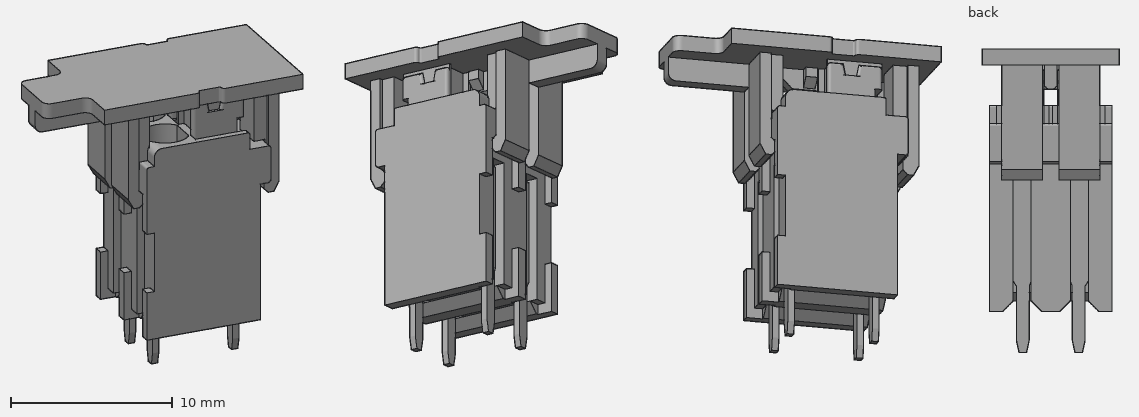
import cadquery as cq

total_height = 18.8
sides = (-1, 1)
pick_margin = 0.02

plate_width = 8.5
plate_thickness = 1.0
plate_bottom = total_height - plate_thickness
plate_back = 6.34
plate_front = -7.16
tab_tip = -10.17
tab_width = 3.95
tab_radius = 0.5
side_notch_back = 1.09
side_notch_front = -0.85
side_notch_outer_radius = 0.23
side_notch_inner_radius = 0.11
side_notch_depth = side_notch_outer_radius + side_notch_inner_radius

leg_offset = 1.77
leg_width = 2.54
leg_thickness = 0.71
front_leg_inner = -4.27
back_leg_inner = 4.55
front_leg_bottom = 11.2
back_leg_bottom = 10.68
front_hook_top = 12.33
back_hook_top = 11.94
hook_reach = 0.34
hook_tip_slant = 0.3
leg_toe_width = 0.35
leg_toe_height = 0.65
leg_rib_inset = 0.25
leg_rib_width = leg_width - 2 * leg_rib_inset
front_rib_inner = -3.44
back_rib_inner = 3.65
rib_end_thickness = 0.13
rib_end_bottom = 13.67

finger_rib_width = 2 * leg_offset - leg_width
finger_rib_depth = 1.5
divider_width = 0.75
divider_back = 2.25
divider_front = -3.0
divider_chamfer = 0.2
divider_nose_height = 0.45
wedge_half_width = 0.92
wedge_back = -0.68
wedge_front = -1.43
wedge_straight_depth = 0.6
wedge_depth = 1.18

housing_width = 7.61
housing_bottom = 2.54
housing_top = 15.3
shelf_height = 14.18
front_face = -4.08
recessed_face = -3.57
back_face = 3.65
back_ledge = 4.35
back_ledge_bottom = 11.7
top_back = 2.91
top_front_radius = 0.53
top_back_radius = 0.13
shelf_radius = 0.17
ledge_chamfer = 0.13
side_post_width = 0.65
middle_post_width = 0.71
post_gap_bottom = 5.73
post_gap_top = 9.68
hook_ledge = 12.16

pocket_side_gap = 0.32
pocket_floor = 12.85
round_opening_radius = 1.49
round_opening_y = -1.92
round_opening_back = -0.71

pole_offset = 1.73
plunger_width = 2.61
plunger_front = -0.58
plunger_back = top_back
plunger_lower_back = 2.4
plunger_step = 16.07
plunger_radius = 0.2
front_slot_depth = 0.4
flange_width = 0.4
front_slot_width = plunger_width - 2 * flange_width
cheek_depth = 0.2
cheek_top = 17.58
cheek_round = 0.19
cheek_notch_y = 0.92
cheek_notch_bottom = 16.8
cheek_notch_bottom_width = 0.7
cheek_notch_top_width = 1.02

pin_row = 2.73
pin_thickness = 0.43
pin_wide_offset = leg_offset
pin_wide_width = 1.1
pin_top = 10.98
pin_shoulder_top = 4.42
pin_shoulder_bottom = 4.14
pin_tail_width = 0.8
pin_tip_width = 0.47
pin_taper_height = 0.77
pin_slot_top = 11.13
pin_slot_end = pin_row - pin_thickness / 2
pin_notch_height = 0.65
pin_slot_chamfer = 0.53
bottom_step_depth = 0.53


def box(x, y, z):
    """Box spanning the given (low, high) pairs."""
    size = [abs(high - low) for low, high in (x, y, z)]
    corner = [min(pair) for pair in (x, y, z)]
    return cq.Workplane("XY").box(*size, centered=False).translate(tuple(corner))


def centred(middle, width):
    return (middle - width / 2, middle + width / 2)


def near(x, y, z):
    """Selector for edges centred within the given (low, high) pairs, with a little slack."""
    low = [pair[0] - pick_margin for pair in (x, y, z)]
    high = [pair[1] + pick_margin for pair in (x, y, z)]
    return cq.selectors.BoxSelector(low, high)


def side_profile(points, middle, width):
    """Prism along X whose outline is given as (y, z) points."""
    prism = cq.Workplane("YZ").polyline(points).close().extrude(width / 2, both=True)
    return prism.translate((middle, 0, 0))


def front_profile(points, y_low, y_high):
    """Prism along Y whose outline is given as (x, z) points."""
    prism = cq.Workplane("XZ").polyline(points).close().extrude(y_low - y_high)
    return prism.translate((0, y_low, 0))


def side_notch():
    """Cutter for the notch in the +X edge of the plate, with every corner rounded."""
    edge_x = plate_width / 2
    bend_x = edge_x - side_notch_outer_radius
    inner_x = bend_x - side_notch_inner_radius
    outline = (
        cq.Workplane("XY", origin=(0, 0, plate_bottom))
        .moveTo(edge_x, side_notch_front)
        .radiusArc((bend_x, side_notch_front + side_notch_outer_radius), -side_notch_outer_radius)
        .radiusArc((inner_x, side_notch_front + side_notch_depth), side_notch_inner_radius)
        .lineTo(inner_x, side_notch_back - side_notch_depth)
        .radiusArc((bend_x, side_notch_back - side_notch_outer_radius), side_notch_inner_radius)
        .radiusArc((edge_x, side_notch_back), -side_notch_outer_radius)
        .close()
    )
    return outline.extrude(plate_thickness)


def cap_plate():
    z_range = (plate_bottom, total_height)
    plate = box(centred(0, plate_width), (plate_front, plate_back), z_range)
    tab = box(centred(0, tab_width), (tab_tip, plate_front), z_range)
    tab = tab.edges("|Z and <Y").fillet(tab_radius)
    plate = plate.union(tab)
    tab_roots = near(centred(0, tab_width), (plate_front, plate_front), z_range)
    plate = plate.edges("|Z").edges(tab_roots).fillet(tab_radius)
    notch = side_notch()
    return plate.cut(notch).cut(notch.mirror("YZ"))


def cap_leg(x, inner, outward, bottom, hook_top, rib_inner):
    """Hooked leg; outward is the Y direction pointing away from the housing."""
    outer = inner + outward * leg_thickness
    hook_tip = inner - outward * hook_reach
    leg = side_profile(
        [
            (inner, plate_bottom),
            (inner, hook_top),
            (hook_tip, hook_top - hook_reach),
            (hook_tip, bottom + hook_tip_slant),
            (hook_tip + outward * hook_tip_slant, bottom),
            (outer - outward * leg_toe_width, bottom),
            (outer, bottom + leg_toe_height),
            (outer, plate_bottom),
        ],
        x,
        leg_width,
    )
    rib_end = inner - outward * rib_end_thickness
    rib = side_profile(
        [
            (inner, plate_bottom),
            (inner, rib_end_bottom),
            (rib_end, rib_end_bottom),
            (rib_end, shelf_height),
            (rib_inner, shelf_height),
            (rib_inner, plate_bottom),
        ],
        x,
        leg_rib_width,
    )
    return leg.union(rib)


def finger_rib():
    """Rib under the tab, between the front legs."""
    y_range = (tab_tip, front_leg_inner - leg_thickness)
    rib = box(centred(0, finger_rib_width), y_range, (plate_bottom - finger_rib_depth, plate_bottom))
    return rib.edges("|X and <Y and <Z").fillet(tab_radius)


def divider():
    """Rib between the plungers, with a wedge on each side in front of them."""
    bottom = plate_bottom - finger_rib_depth
    slope = finger_rib_depth - divider_nose_height
    rib = side_profile(
        [
            (divider_back, plate_bottom),
            (divider_back, bottom),
            (divider_front + slope, bottom),
            (divider_front, plate_bottom - divider_nose_height),
            (divider_front, plate_bottom),
        ],
        0,
        divider_width,
    )
    rib = rib.faces("<Z").edges("|Y").chamfer(divider_chamfer)
    wedge = front_profile(
        [
            (-wedge_half_width, plate_bottom),
            (-wedge_half_width, plate_bottom - wedge_straight_depth),
            (-divider_width / 2, plate_bottom - wedge_depth),
            (divider_width / 2, plate_bottom - wedge_depth),
            (wedge_half_width, plate_bottom - wedge_straight_depth),
            (wedge_half_width, plate_bottom),
        ],
        wedge_front,
        wedge_back,
    )
    return rib.union(wedge)


def make_cap():
    cap = cap_plate().union(finger_rib()).union(divider())
    for side in sides:
        x = side * leg_offset
        cap = cap.union(cap_leg(x, front_leg_inner, -1, front_leg_bottom, front_hook_top, front_rib_inner))
        cap = cap.union(cap_leg(x, back_leg_inner, 1, back_leg_bottom, back_hook_top, back_rib_inner))
    return cap


def housing_block():
    x_range = centred(0, housing_width)
    body = box(x_range, (front_face, back_face), (housing_bottom, shelf_height))
    body = body.edges("|X and <Y and >Z").fillet(shelf_radius)
    ledge = box(x_range, (back_face, back_ledge), (back_ledge_bottom, shelf_height))
    ledge = ledge.edges("|X and >Y and >Z").fillet(shelf_radius)
    ledge = ledge.edges("|X and >Y and <Z").chamfer(ledge_chamfer)
    top = box(x_range, (recessed_face, top_back), (shelf_height, housing_top))
    top = top.edges("|X and <Y and >Z").fillet(top_front_radius)
    top = top.edges("|X and >Y and >Z").fillet(top_back_radius)
    return body.union(ledge).union(top)


def front_recesses():
    """Gaps in the front: between the posts, and between their upper and lower parts."""
    y_range = (front_face, recessed_face)
    recesses = box(centred(0, housing_width), y_range, (post_gap_bottom, post_gap_top))
    inner = middle_post_width / 2
    outer = housing_width / 2 - side_post_width
    step_y = (front_face, recessed_face + bottom_step_depth)
    for side in sides:
        x_range = (side * inner, side * outer)
        recesses = recesses.union(box(x_range, y_range, (housing_bottom, hook_ledge)))
        step = box(x_range, step_y, (housing_bottom, housing_bottom + pin_notch_height))
        recesses = recesses.union(step)
    return recesses


def pin_slots(x):
    """Front and back pin slots of one pole and the flared notch below them."""
    half = pin_wide_width / 2
    notch_top = housing_bottom + pin_notch_height
    slots = front_profile(
        [
            (x - half - pin_notch_height, housing_bottom),
            (x - half, notch_top),
            (x + half, notch_top),
            (x + half + pin_notch_height, housing_bottom),
        ],
        front_face,
        back_face,
    )
    for row, face in ((-1, front_face), (1, back_face)):
        end = row * pin_slot_end
        slots = slots.union(
            side_profile(
                [
                    (face, housing_bottom),
                    (face, pin_slot_top),
                    (end, pin_slot_top),
                    (end, notch_top + pin_slot_chamfer),
                    (end - row * pin_slot_chamfer, notch_top),
                    (end - row * pin_slot_chamfer, housing_bottom),
                ],
                x,
                pin_wide_width,
            )
        )
    return slots


def top_openings(side):
    """Plunger pocket open to the rear, round opening before it and leg rib notch of one pole."""
    z_range = (pocket_floor, housing_top)
    pole_x = side * pole_offset
    pocket_x = centred(pole_x, plunger_width + 2 * pocket_side_gap)
    pocket = box(pocket_x, (plunger_front, plunger_lower_back), z_range)
    rear_gap = box(pocket_x, (plunger_lower_back, top_back), (shelf_height, housing_top))
    pocket = pocket.union(rear_gap)
    island_y = (plunger_front, plunger_front + front_slot_depth)
    island = box(centred(pole_x, front_slot_width), island_y, z_range)
    leg_x = side * leg_offset
    depth = housing_top - pocket_floor
    opening = cq.Workplane("XY", origin=(leg_x, round_opening_y, pocket_floor))
    opening = opening.circle(round_opening_radius).extrude(depth)
    behind = box(
        centred(leg_x, 2 * round_opening_radius),
        (round_opening_back, round_opening_y + round_opening_radius),
        z_range,
    )
    rib_notch = box(
        centred(leg_x, leg_rib_width), (recessed_face, front_rib_inner), (shelf_height, housing_top)
    )
    return pocket.cut(island).union(opening.cut(behind)).union(rib_notch)


def make_housing():
    housing = housing_block().cut(front_recesses())
    for side in sides:
        housing = housing.cut(pin_slots(side * pin_wide_offset)).cut(top_openings(side))
    return housing


def cheek_relief():
    """Cutter that sets back the top of the +X cheek and its tapered notch."""
    bottom = cheek_notch_bottom_width / 2
    top = cheek_notch_top_width / 2
    depth_range = (plunger_width / 2 - cheek_depth, plunger_width / 2)
    band = box(depth_range, (plunger_front, plunger_back), (cheek_top, plate_bottom))
    notch = side_profile(
        [
            (cheek_notch_y - bottom, cheek_notch_bottom),
            (cheek_notch_y + bottom, cheek_notch_bottom),
            (cheek_notch_y + top, cheek_top),
            (cheek_notch_y - top, cheek_top),
        ],
        sum(depth_range) / 2,
        cheek_depth,
    )
    return band.union(notch)


def make_plunger(x):
    half = plunger_width / 2
    x_range = (-half, half)
    plunger = box(x_range, (plunger_front, plunger_back), (pocket_floor, plate_bottom))
    plunger = plunger.edges("|Z").fillet(plunger_radius)
    relief = cheek_relief()
    plunger = plunger.cut(relief).cut(relief.mirror("YZ"))
    for side in sides:
        outer_x = side * half
        rim_y = (plunger_front + plunger_radius, plunger_back - plunger_radius)
        rim = near((outer_x, outer_x), rim_y, (cheek_notch_bottom + 2 * pick_margin, cheek_top))
        plunger = plunger.edges(rim).fillet(cheek_round)
    plunger = plunger.cut(box(x_range, (plunger_lower_back, plunger_back), (pocket_floor, plunger_step)))
    slot_end = plunger_front + front_slot_depth
    plunger = plunger.cut(
        box(centred(0, front_slot_width), (plunger_front, slot_end), (pocket_floor, plate_bottom))
    )
    return plunger.translate((x, 0, 0))


def make_pin(side, row):
    """Flat pin whose tail sits slightly nearer the middle than its wide upper part."""
    wide = pin_wide_width / 2
    tail = pin_tail_width / 2
    tip = pin_tip_width / 2
    upper_x = side * pin_wide_offset
    tail_x = side * pole_offset
    y_low, y_high = centred(row * pin_row, pin_thickness)
    return front_profile(
        [
            (upper_x - wide, pin_top),
            (upper_x - wide, pin_shoulder_top),
            (tail_x - tail, pin_shoulder_bottom),
            (tail_x - tail, pin_taper_height),
            (tail_x - tip, 0),
            (tail_x + tip, 0),
            (tail_x + tail, pin_taper_height),
            (tail_x + tail, pin_shoulder_bottom),
            (upper_x + wide, pin_shoulder_top),
            (upper_x + wide, pin_top),
        ],
        y_low,
        y_high,
    )


cap = make_cap()
housing = make_housing()
plungers = [make_plunger(side * pole_offset) for side in sides]
pins = [make_pin(side, row) for side in sides for row in (-1, 1)]

result = cq.Compound.makeCompound(
    [
        cap.solids().val(),
        housing.solids().val(),
        *[plunger.solids().val() for plunger in plungers],
        *[pin.val() for pin in pins],
    ]
)